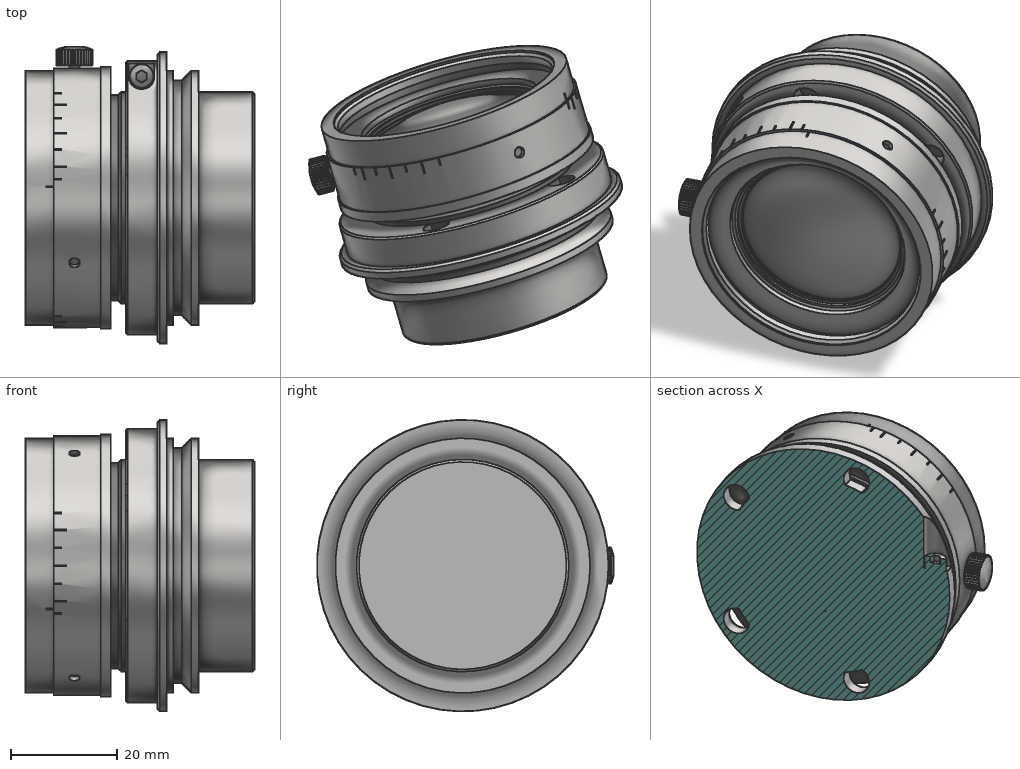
import cadquery as cq
import math

LENGTH = 43.2

RIM_R = 48.0 / 2
RIM_END = 5.3
APERTURE_R = 24.45
APERTURE_END = 14.2
STOP_R = 24.75
STOP_END = 16.1

NECK_R = 19.4
NECK_END = 17.5
TUBE_R = 40.0 / 2
REAR_CHAMFER = 0.45

CLAMP_R = 25.85
CLAMP_START = 18.95
CLAMP_END = 24.85
CLAMP_CHAMFER = 0.35

FLANGE_R = 55.0 / 2
FLANGE_CHAMFER = 0.5
FLANGE_END = 26.6
DOVETAIL_R = 48.0 / 2
SHOULDER_END = 27.85
GROOVE_R = 22.2
GROOVE_FLOOR_END = 29.5
DOVETAIL_END = 32.65

MOUTH_R = 43.2 / 2
MOUTH_DEPTH = 0.4
LIP_R = 21.0
LIP_CONE_DEPTH = 0.9
LIP_END = 2.3
UNDERCUT_R = 21.9
RECESS_DEPTH = 3.95
SEAT_MOUTH_R = 17.25
SEAT_MOUTH_DEPTH = 5.1
SEAT_R = 33.5 / 2
SEAT_DEPTH = 5.4
RETAINER_R = 16.25
RETAINER_DEPTH = 6.0
LENS_CELL_R = 31.5 / 2
LENS_R = 15.5
LENS_EDGE_DEPTH = 6.5
LENS_DOME_HEIGHT = 3.5

STATION_X = 9.25
KNOB_R = 3.45
KNURL_DEPTH = 0.25
KNURL_COUNT = 36
KNOB_BASE = 24.9
KNOB_RIM = 27.9
KNOB_TOP = 28.5
KNOB_CHAMFER = 0.2
KNOB_CROWN_RISE = 0.65
KNOB_CROWN_R = 1.6
KNOB_STEM_R = 2.0 / 2
RADIAL_HOLE_R = 2.05 / 2
RADIAL_HOLE_DEPTH = 1.0
RADIAL_HOLE_ANGLES = (120, 240)

SCREW_X = (CLAMP_START + CLAMP_END) / 2
SCREW_Y = 22.9
SCREW_SEAT_Z = 5.3
SCREW_HEAD_R = 4.5 / 2
SCREW_HEAD_HEIGHT = 2.5
SCREW_HEAD_FILLET = 0.4
SCREW_POCKET_R = 2.4
HEX_FLATS = 2.0
HEX_DEPTH = 1.2

POCKET_R = 2.55
POCKET_PITCH_R = 21.9
POCKET_INNER_R = TUBE_R + 0.1
POCKET_DEPTH = 3.5
POCKET_ANGLES = (72, 144, 216, 288)

MARK_WIDTH = 0.2
MARK_DEPTH = 0.1
SHORT_MARK = 1.5
LONG_MARK = 2.4
SCALE_START = 36
SCALE_STEP = 8
SCALE_STEPS = 6
SCALE_LAST_ANGLE = 81.7
SCALE_REPEAT = 120
INDEX_LENGTH = 1.4
INDEX_ANGLES = (85, 200)


def lens_body():
    """Turned body with the convex front lens closing the recess."""
    apex_x = LENS_EDGE_DEPTH - LENS_DOME_HEIGHT
    sphere_r = (LENS_R**2 + LENS_DOME_HEIGHT**2) / (2 * LENS_DOME_HEIGHT)
    half_r = LENS_R / 2
    half_x = apex_x + sphere_r - math.sqrt(sphere_r**2 - half_r**2)
    neck_cone_end = NECK_END + TUBE_R - NECK_R
    groove_cone_end = GROOVE_FLOOR_END + DOVETAIL_R - GROOVE_R
    profile = (
        cq.Workplane("XY")
        .moveTo(apex_x, 0)
        .threePointArc((half_x, half_r), (LENS_EDGE_DEPTH, LENS_R))
        .lineTo(LENS_EDGE_DEPTH, LENS_CELL_R)
        .lineTo(RETAINER_DEPTH, LENS_CELL_R)
        .lineTo(RETAINER_DEPTH, RETAINER_R)
        .lineTo(SEAT_DEPTH, RETAINER_R)
        .lineTo(SEAT_DEPTH, SEAT_R)
        .lineTo(SEAT_MOUTH_DEPTH, SEAT_MOUTH_R)
        .lineTo(RECESS_DEPTH, SEAT_MOUTH_R)
        .lineTo(RECESS_DEPTH, UNDERCUT_R)
        .lineTo(LIP_END, UNDERCUT_R)
        .lineTo(LIP_END, LIP_R)
        .lineTo(LIP_CONE_DEPTH, LIP_R)
        .lineTo(MOUTH_DEPTH, MOUTH_R)
        .lineTo(0, MOUTH_R)
        .lineTo(0, RIM_R)
        .lineTo(RIM_END, RIM_R)
        .lineTo(RIM_END, APERTURE_R)
        .lineTo(APERTURE_END, APERTURE_R)
        .lineTo(APERTURE_END, STOP_R)
        .lineTo(STOP_END, STOP_R)
        .lineTo(STOP_END, NECK_R)
        .lineTo(NECK_END, NECK_R)
        .lineTo(neck_cone_end, TUBE_R)
        .lineTo(CLAMP_START, TUBE_R)
        .lineTo(CLAMP_START, CLAMP_R - CLAMP_CHAMFER)
        .lineTo(CLAMP_START + CLAMP_CHAMFER, CLAMP_R)
        .lineTo(CLAMP_END, CLAMP_R)
        .lineTo(CLAMP_END, FLANGE_R - FLANGE_CHAMFER)
        .lineTo(CLAMP_END + FLANGE_CHAMFER, FLANGE_R)
        .lineTo(FLANGE_END, FLANGE_R)
        .lineTo(FLANGE_END, DOVETAIL_R)
        .lineTo(SHOULDER_END, DOVETAIL_R)
        .lineTo(SHOULDER_END, GROOVE_R)
        .lineTo(GROOVE_FLOOR_END, GROOVE_R)
        .lineTo(groove_cone_end, DOVETAIL_R)
        .lineTo(DOVETAIL_END, DOVETAIL_R)
        .lineTo(DOVETAIL_END, TUBE_R)
        .lineTo(LENGTH - REAR_CHAMFER, TUBE_R)
        .lineTo(LENGTH, TUBE_R - REAR_CHAMFER)
        .lineTo(LENGTH, 0)
        .close()
    )
    return profile.revolve(360, (0, 0, 0), (1, 0, 0))


def turn_about_axis(shape, angle):
    """Turn a feature modelled on the +Y side about X; positive angles go from +Y to +Z."""
    return shape.rotate((0, 0, 0), (1, 0, 0), angle)


def cylinder_along_y(x, radius, y_start, y_end):
    base = cq.Workplane("XZ", origin=(x, y_start, 0))
    return base.circle(radius).extrude(y_start - y_end)


def radial_hole(angle):
    floor = APERTURE_R - RADIAL_HOLE_DEPTH
    return turn_about_axis(cylinder_along_y(STATION_X, RADIAL_HOLE_R, floor, STOP_R), angle)


def locking_knob():
    """Knurled knob with a crowned top, on a stem reaching into the aperture ring."""
    knurl = []
    for i in range(2 * KNURL_COUNT):
        angle = math.pi * i / KNURL_COUNT
        radius = KNOB_R - KNURL_DEPTH * (i % 2)
        knurl.append((radius * math.cos(angle), radius * math.sin(angle)))
    grip = (
        cq.Workplane("XZ", origin=(STATION_X, KNOB_BASE, 0))
        .polyline(knurl)
        .close()
        .extrude(KNOB_BASE - KNOB_TOP)
    )
    mid_r = (KNOB_R + KNOB_CROWN_R) / 2
    mid_y = KNOB_RIM + KNOB_CROWN_RISE * (KNOB_TOP - KNOB_RIM)
    envelope = (
        cq.Workplane("XY", origin=(STATION_X, 0, 0))
        .moveTo(0, KNOB_BASE)
        .lineTo(KNOB_R - KNOB_CHAMFER, KNOB_BASE)
        .lineTo(KNOB_R, KNOB_BASE + KNOB_CHAMFER)
        .lineTo(KNOB_R, KNOB_RIM)
        .threePointArc((mid_r, mid_y), (KNOB_CROWN_R, KNOB_TOP))
        .lineTo(0, KNOB_TOP)
        .close()
        .revolve(360, (0, 0, 0), (0, 1, 0))
    )
    stem_root = APERTURE_R - RADIAL_HOLE_DEPTH
    stem = cylinder_along_y(STATION_X, KNOB_STEM_R, stem_root, KNOB_RIM)
    return grip.intersect(envelope).union(stem)


def screw_pocket():
    """Round-ended seat for the screw head, open towards +Y and +Z."""
    seat = cq.Workplane("XY", origin=(SCREW_X, SCREW_Y, SCREW_SEAT_Z))
    round_end = seat.circle(SCREW_POCKET_R).extrude(CLAMP_R)
    open_length = CLAMP_R - SCREW_Y
    mouth = (
        seat.center(0, open_length / 2)
        .rect(2 * SCREW_POCKET_R, open_length)
        .extrude(CLAMP_R)
    )
    return round_end.union(mouth)


def screw_head():
    """Hexagon-socket cap head resting on the pocket floor."""
    corner_diameter = HEX_FLATS / math.cos(math.pi / 6)
    head = (
        cq.Workplane("XY", origin=(SCREW_X, SCREW_Y, SCREW_SEAT_Z))
        .circle(SCREW_HEAD_R)
        .extrude(SCREW_HEAD_HEIGHT)
        .faces(">Z")
        .edges()
        .fillet(SCREW_HEAD_FILLET)
    )
    socket_floor = SCREW_SEAT_Z + SCREW_HEAD_HEIGHT - HEX_DEPTH
    socket = (
        cq.Workplane("XY", origin=(SCREW_X, SCREW_Y, socket_floor))
        .transformed(rotate=(0, 0, 90))
        .polygon(6, corner_diameter)
        .extrude(HEX_DEPTH)
    )
    return head.cut(socket)


def axial_pocket(angle):
    """Round pocket cut into the clamp ring only, leaving the tube inside it whole."""
    pocket = (
        cq.Workplane("YZ", origin=(CLAMP_START, POCKET_PITCH_R, 0))
        .circle(POCKET_R)
        .extrude(POCKET_DEPTH)
    )
    tube = cq.Workplane("YZ", origin=(CLAMP_START, 0, 0)).circle(POCKET_INNER_R).extrude(POCKET_DEPTH)
    pocket = pocket.cut(tube)
    return turn_about_axis(pocket, angle)


def mark(x_start, length, surface_r, angle):
    """Cutter for one engraved line along X on a cylinder of radius surface_r."""
    line = cq.Workplane("XY").box(length, 2 * MARK_DEPTH, MARK_WIDTH)
    line = line.translate((x_start + length / 2, surface_r, 0))
    return turn_about_axis(line, angle)


def scale_marks():
    """Aperture scale repeated around the ring, and the index lines on the rim."""
    marks = []
    for turn in range(0, 360, SCALE_REPEAT):
        for step in range(SCALE_STEPS):
            length = LONG_MARK if step % 2 else SHORT_MARK
            angle = turn + SCALE_START + step * SCALE_STEP
            marks.append(mark(RIM_END, length, APERTURE_R, angle))
        marks.append(mark(RIM_END, SHORT_MARK, APERTURE_R, turn + SCALE_LAST_ANGLE))
    for angle in INDEX_ANGLES:
        marks.append(mark(RIM_END - INDEX_LENGTH, INDEX_LENGTH, RIM_R, angle))
    return marks


result = lens_body()
for hole_angle in RADIAL_HOLE_ANGLES:
    result = result.cut(radial_hole(hole_angle))
for pocket_angle in POCKET_ANGLES:
    result = result.cut(axial_pocket(pocket_angle))
for line_mark in scale_marks():
    result = result.cut(line_mark)
result = result.cut(screw_pocket()).union(screw_head()).union(locking_knob())